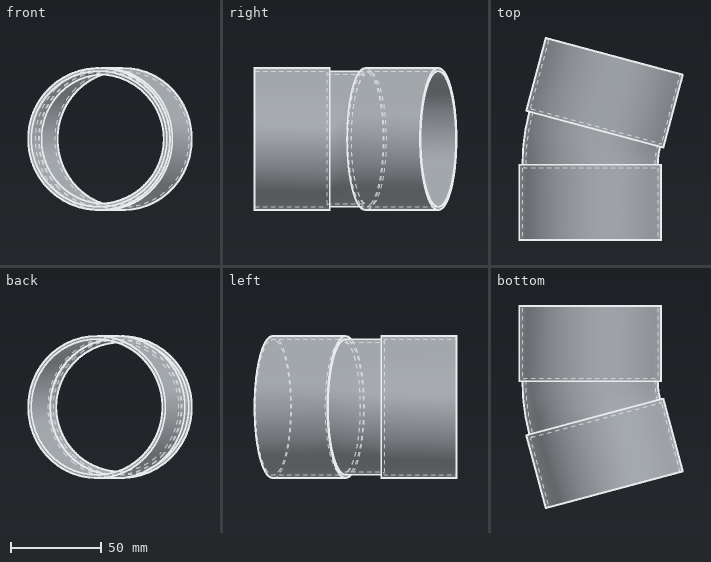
import cadquery as cq
import math

bend_angle = 15.0
bend_radius = 75.9
socket_length = 41.7
socket_diameter = 78.6
neck_diameter = 75.0
wall = (socket_diameter - neck_diameter) / 2
neck_bore = neck_diameter - 2 * wall
lip_radius = wall

bend_radians = math.radians(bend_angle)
neck_end = (
    bend_radius * (1 - math.cos(bend_radians)),
    bend_radius * math.sin(bend_radians),
    0,
)


def bend(diameter):
    """Solid curved cylinder from the origin, turning from +Y towards +X."""
    return (
        cq.Workplane("XZ")
        .circle(diameter / 2)
        .revolve(bend_angle, (bend_radius, 0), (bend_radius, -1))
    )


def socket():
    """Open sleeve along +Y with a rounded inner shoulder at y = 0."""
    bore_radius = neck_diameter / 2
    outer_radius = socket_diameter / 2
    throat_radius = neck_bore / 2
    return (
        cq.Workplane("XY")
        .moveTo(throat_radius, 0)
        .radiusArc((throat_radius + lip_radius, lip_radius), lip_radius)
        .lineTo(bore_radius, socket_length)
        .lineTo(outer_radius, socket_length)
        .lineTo(outer_radius, 0)
        .close()
        .revolve(360, (0, 0), (0, 1))
    )


neck = bend(neck_diameter).cut(bend(neck_bore))
near_socket = socket().mirror("XZ")
far_socket = socket().rotate((0, 0, 0), (0, 0, 1), -bend_angle).translate(neck_end)

result = neck.union(near_socket).union(far_socket)